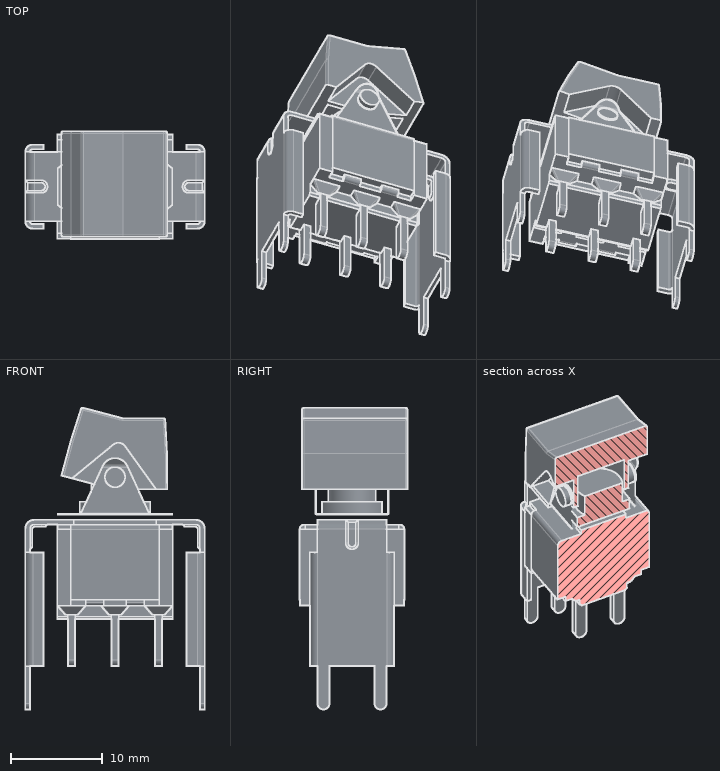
import cadquery as cq
import math


frame_length = 19.57
frame_width = 7.55
frame_top = 20.7
sheet = 0.53
top_bend_radius = 1.0
wall_bottom = 4.75
leg_width = 1.35
flap_reach = 2.0
flap_top = 17.15
flap_outer_width = 9.18
flap_bend_radius = (flap_outer_width - frame_width) / 2
notch_length = 8.95
notch_depth = 1.0

bead_width = 1.38
bead_depth = 0.25
bead_floor_width = 0.85
bead_top_reach = 2.45
bead_side_reach = 3.22

housing_length = 12.63
housing_width = 11.45
housing_bottom = 11.3
housing_top = frame_top - sheet
panel_length = 9.6
ear_setback = 0.03
cap_setback = 0.03
panel_round = 0.53
ledge_depth = 0.62
ledge_height = 0.53
recess_height = 0.62
recess_depth = 1.0
lug_spacing = 4.4
lug_width = 1.97
lug_depth = 0.5
lug_round = 0.4
base_width = 5.92
base_bottom = 9.87
base_bevel = 0.25

terminal_pitch = 4.75
terminal_thickness = 0.8
terminal_width = 1.35
terminal_bottom = wall_bottom
collar_bottom_width = 1.35
collar_top_width = 3.1
collar_bottom = 10.33
collar_round = 0.15

bracket_bottom = 21.25
bracket_sheet = 0.1
bracket_length = 12.45
bracket_width = 8.03
bracket_end_width = 4.0
bracket_corner_run = 2.3
bracket_bend_radius = 0.2
ear_base_width = 7.55
ear_tip_diameter = 2.95
ear_top = 27.4
flare_start = 26.58
flare_reach = 0.65
flare_bend_radius = 0.33

bushing_diameter = 7.7
bushing_width = 6.55
bushing_top = 22.65
stem_diameter = 5.2

pivot_height = 25.33
tilt = 7.4
rocker_offset = 0.3
rocker_width = 11.5
rocker_top_half = 4.6
rocker_middle_half = 5.3
rocker_bottom_half = 5.82
rocker_top_dip = 6.48
rocker_middle = 3.32
rocker_bottom_tip = -1.35
rocker_round = 0.23
cavity_width = 5.72
cavity_length = 8.95
cavity_top = 2.95
side_recess_face = 3.42
side_recess_foot_half = 5.2
side_recess_peak = 4.18
side_recess_round = 0.9
pin_diameter = 2.2
pin_end = 4.4


def box(x_range, y_range, z_range):
    """Box between the given pairs of limits."""
    (x0, x1), (y0, y1), (z0, z1) = x_range, y_range, z_range
    return cq.Workplane("XY").box(x1 - x0, y1 - y0, z1 - z0, centered=False).translate((x0, y0, z0))


def half_arch(inset):
    """Right-hand half of a solid arch whose skin lies the given depth inside the frame."""
    block = box(
        (0, frame_length / 2 - inset),
        (-frame_width / 2, frame_width / 2),
        (wall_bottom, frame_top - inset),
    )
    return block.edges(">X and >Z").fillet(top_bend_radius - inset)


def bead_press(depth):
    """Tapered round-ended strip following the top bend, pressed in from the given depth."""
    bend_x = frame_length / 2 - top_bend_radius
    bend_z = frame_top - top_bend_radius
    taper_angle = math.degrees(math.atan2((bead_width - bead_floor_width) / 2, bead_depth))
    top_straight = bead_top_reach - bead_width / 2 - top_bend_radius
    side_straight = bead_side_reach - bead_width / 2 - top_bend_radius
    top_strip = (
        cq.Workplane("XY", origin=(bend_x - top_straight / 2, 0, frame_top - depth))
        .slot2D(top_straight + bead_width, bead_width)
        .extrude(-bead_depth, taper=taper_angle)
    )
    side_strip = (
        cq.Workplane("YZ", origin=(frame_length / 2 - depth, 0, bend_z - side_straight / 2))
        .slot2D(side_straight + bead_width, bead_width, 90)
        .extrude(-bead_depth, taper=taper_angle)
    )
    outer = top_bend_radius - depth
    inner = outer - bead_depth
    bend = (
        cq.Workplane("YZ", origin=(bend_x, 0, bend_z))
        .polyline([
            (-bead_width / 2, outer),
            (bead_width / 2, outer),
            (bead_floor_width / 2, inner),
            (-bead_floor_width / 2, inner),
        ])
        .close()
        .revolve(90, (0, 0, 0), (1, 0, 0))
    )
    return top_strip.union(side_strip).union(bend)


def rounded_blade(thickness, width, bottom, top):
    """Flat blade across X with a fully rounded lower end."""
    return (
        cq.Workplane("YZ")
        .moveTo(-width / 2, top)
        .lineTo(-width / 2, bottom + width / 2)
        .threePointArc((0, bottom), (width / 2, bottom + width / 2))
        .lineTo(width / 2, top)
        .close()
        .extrude(thickness / 2, both=True)
    )


def side_flaps():
    """Channel-shaped pair of flaps turned in from the right-hand wall."""
    outer_x = frame_length / 2
    inner_half = flap_outer_width / 2 - sheet
    span = (wall_bottom, flap_top)
    outside = box((outer_x - flap_reach, outer_x), (-flap_outer_width / 2, flap_outer_width / 2), span)
    inside = box((outer_x - flap_reach, outer_x - sheet), (-inner_half, inner_half), span)
    outside = outside.edges("|Z and >X").fillet(flap_bend_radius)
    inside = inside.edges("|Z and >X").fillet(flap_bend_radius - sheet)
    return outside.cut(inside)


def frame_half():
    """Right-hand half of the frame: top, wall, flaps, legs and bead."""
    half = half_arch(0).cut(half_arch(sheet)).union(side_flaps())
    leg = rounded_blade(sheet, leg_width, 0, wall_bottom)
    leg_x = (frame_length - sheet) / 2
    leg_y = (frame_width - leg_width) / 2
    notch = cq.Workplane("XY").box(notch_length, 2 * notch_depth, 2 * sheet)
    for side in (-1, 1):
        half = half.union(leg.translate((leg_x, side * leg_y, 0)))
        half = half.cut(notch.translate((0, side * frame_width / 2, frame_top)))
    return half.union(bead_press(sheet)).cut(bead_press(0))


def frame():
    right = frame_half()
    return right.union(right.mirror("YZ"))


def housing_front():
    """Half of the housing shell on the -Y side, with its panel, ears and lower recess."""
    front = -housing_width / 2
    heights = (housing_bottom, housing_top)
    ears = box((-housing_length / 2, housing_length / 2), (front + ear_setback, 0), heights)
    ledge = box(
        (-housing_length / 2, housing_length / 2),
        (front, front + ledge_depth),
        (housing_top - ledge_height, housing_top),
    )
    side_step = box(
        (housing_length / 2 - cap_setback, housing_length / 2),
        (front, 0),
        (housing_top - ledge_height, housing_top),
    )
    ears = ears.cut(ledge).cut(side_step).cut(side_step.mirror("YZ"))
    panel = box((-panel_length / 2, panel_length / 2), (front, 0), heights)
    panel = panel.edges("<Y and >Z").fillet(panel_round)
    recess_top = housing_bottom + recess_height
    recess = box(
        (-panel_length / 2, panel_length / 2), (front, front + recess_depth), (housing_bottom, recess_top)
    )
    shell = ears.union(panel).cut(recess)
    for side in (-1, 1):
        middle = side * lug_spacing / 2
        lug = box(
            (middle - lug_width / 2, middle + lug_width / 2),
            (front + recess_depth - lug_depth, front + recess_depth),
            (housing_bottom, recess_top),
        )
        shell = shell.union(lug.edges("<Y and <Z").fillet(lug_round))
    return shell


def base():
    """Sealing block below the housing."""
    block = box(
        (-housing_length / 2, housing_length / 2),
        (-base_width / 2, base_width / 2),
        (base_bottom, housing_bottom),
    )
    return block.edges("|X and <Z").chamfer(base_bevel)


def terminal():
    """Terminal blade with the tapered collar at its root."""
    blade = rounded_blade(terminal_thickness, terminal_width, terminal_bottom, housing_bottom)
    collar_height = housing_bottom - collar_bottom
    collar = (
        cq.Workplane("XY", origin=(0, 0, collar_bottom))
        .rect(collar_bottom_width, collar_bottom_width)
        .workplane(offset=collar_height)
        .rect(collar_top_width, collar_top_width)
        .loft()
    )
    collar = collar.edges("not(#Z)").fillet(collar_round)
    return blade.union(collar)


def lower_body():
    """Frame, housing and terminals as one solid."""
    front = housing_front()
    body = frame().union(front).union(front.mirror("XZ")).union(base())
    contact = terminal()
    for column in (-1, 0, 1):
        for row in (-1, 1):
            body = body.union(contact.translate((column * terminal_pitch, row * terminal_pitch / 2, 0)))
    return body


def bracket_plate():
    """Flat base of the bracket with cut-off corners."""
    end = bracket_length / 2
    shoulder = end - bracket_corner_run
    corners = [
        (end, bracket_end_width / 2),
        (shoulder, bracket_width / 2 - bracket_bend_radius),
        (-shoulder, bracket_width / 2 - bracket_bend_radius),
        (-end, bracket_end_width / 2),
    ]
    outline = corners + [(-x, -y) for x, y in corners]
    return cq.Workplane("XY", origin=(0, 0, bracket_bottom)).polyline(outline).close().extrude(bracket_sheet)


def ear_outline():
    """Prism along Y whose section is the ear: straight flanks tangent to a round tip."""
    radius = ear_tip_diameter / 2
    centre_z = ear_top - radius
    drop = centre_z - bracket_bottom
    half = ear_base_width / 2
    tangent = math.atan2(-drop, half) + math.acos(radius / math.hypot(half, drop))
    tangent_x = radius * math.cos(tangent)
    tangent_z = centre_z + radius * math.sin(tangent)
    return (
        cq.Workplane("XZ")
        .moveTo(-half, bracket_bottom)
        .lineTo(-tangent_x, tangent_z)
        .threePointArc((0, ear_top), (tangent_x, tangent_z))
        .lineTo(half, bracket_bottom)
        .close()
        .extrude(bracket_width, both=True)
    )


def bracket_ear():
    """Ear on the +Y side: bent up from the plate, with its tip flared outward."""
    outer = bracket_width / 2
    inner = outer - bracket_sheet
    root = outer - 2 * bracket_bend_radius
    strip = (
        cq.Workplane("YZ")
        .polyline([
            (root, bracket_bottom),
            (outer, bracket_bottom),
            (outer, flare_start),
            (outer + flare_reach, ear_top),
            (outer + flare_reach - bracket_sheet, ear_top),
            (inner, flare_start),
            (inner, bracket_bottom + bracket_sheet),
            (root, bracket_bottom + bracket_sheet),
        ])
        .close()
        .extrude(ear_base_width / 2, both=True)
    )
    bend = cq.selectors.NearestToPointSelector((0, outer, bracket_bottom))
    strip = strip.edges(bend).fillet(bracket_bend_radius)
    outer_flare = cq.selectors.NearestToPointSelector((0, outer, flare_start))
    strip = strip.edges(outer_flare).fillet(flare_bend_radius)
    inner_flare = cq.selectors.NearestToPointSelector((0, inner, flare_start))
    strip = strip.edges(inner_flare).fillet(flare_bend_radius + bracket_sheet)
    return strip.intersect(ear_outline())


def bracket():
    ear = bracket_ear()
    return bracket_plate().union(ear).union(ear.mirror("XZ"))


def bushing_and_stem():
    """Flat-sided bushing and the round stem that rises into the rocker."""
    bushing = cq.Workplane("XY", origin=(0, 0, bracket_bottom)).circle(bushing_diameter / 2)
    bushing = bushing.extrude(bushing_top - bracket_bottom)
    slab = box(
        (-bushing_diameter / 2, bushing_diameter / 2),
        (-bushing_width / 2, bushing_width / 2),
        (bracket_bottom, bushing_top),
    )
    stem = cq.Workplane("XY", origin=(0, 0, bracket_bottom)).circle(stem_diameter / 2)
    return bushing.intersect(slab).union(stem.extrude(pivot_height - bracket_bottom))


def rocker_shell():
    """Rocker block with a dished top, a peaked underside and rounded outer edges."""
    slope = math.tan(math.radians(tilt))
    right = [
        (rocker_bottom_half, rocker_bottom_tip + rocker_bottom_half * slope),
        (rocker_middle_half, rocker_middle),
        (rocker_top_half, rocker_top_dip + rocker_top_half * slope),
    ]
    left = [(-x, z) for x, z in reversed(right)]
    outline = [(0, rocker_bottom_tip)] + right + [(0, rocker_top_dip)] + left
    block = cq.Workplane("XZ").polyline(outline).close().extrude(rocker_width / 2, both=True)
    above_pivot = cq.selectors.BoxSelector(
        (-rocker_width, -rocker_width, 0), (rocker_width, rocker_width, 2 * rocker_top_dip)
    )
    return block.edges(above_pivot).edges("(not |Y) or >Z").fillet(rocker_round)


def side_recess():
    """Peaked recess that clears a bracket ear, cut in from the +Y side."""
    depth = rocker_width / 2 - side_recess_face
    peak = (
        cq.Workplane("XZ", origin=(0, rocker_width / 2, 0))
        .polyline([
            (-side_recess_foot_half, rocker_bottom_tip),
            (0, side_recess_peak),
            (side_recess_foot_half, rocker_bottom_tip),
        ])
        .close()
        .extrude(depth)
    )
    return peak.edges("|Y and >Z").fillet(side_recess_round)


def rocker():
    """Tilted rocker with its stem cavity, ear recesses and pivot pins."""
    cavity = box(
        (-cavity_length / 2, cavity_length / 2),
        (-cavity_width / 2, cavity_width / 2),
        (rocker_bottom_tip, cavity_top),
    )
    recess = side_recess()
    body = rocker_shell().cut(cavity).cut(recess).cut(recess.mirror("XZ"))
    for side in (-1, 1):
        pin = cq.Workplane("XZ", origin=(0, side * side_recess_face, 0)).circle(pin_diameter / 2)
        body = body.union(pin.extrude(-side * (pin_end - side_recess_face)))
    return body.rotate((0, 0, 0), (0, 1, 0), tilt).translate((0, rocker_offset, pivot_height))


def upper_body():
    """Bracket, bushing, stem and rocker as one solid."""
    return bracket().union(bushing_and_stem()).union(rocker())


switch_base = lower_body()
rocker_assembly = upper_body()
result = cq.Compound.makeCompound([switch_base.val(), rocker_assembly.val()])